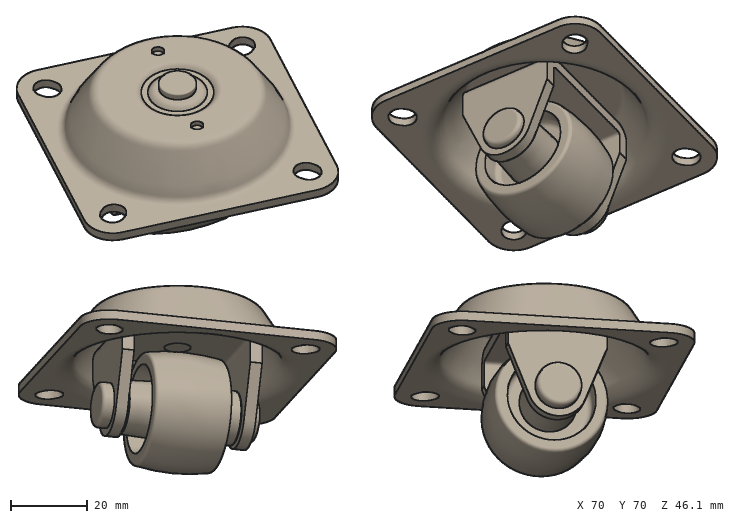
import cadquery as cq
import math


plate_side = 70
plate_thickness = 2.5
plate_corner_radius = 7.9
slot_width = 6.5
slot_length = 7.5
slot_offset = 26.95
slot_angle = 45

dome_top_z = 16.8
dome_wall = 2.5
dome_flat_radius = 19.95
dome_top_fillet = 4.0
dome_base_radius = 32.2
dome_base_fillet = 2.95
dome_top_slope = math.radians(60)
dome_base_slope = math.radians(70)

groove_depth = 1.4
groove_outer_radius = 12.2
groove_inner_radius = 5.2
groove_lip_radius = 3.0
groove_slope = math.radians(45)

dimple_offset = 16.0
dimple_diameter = 3.35
dimple_depth = 1.4

pin_radius = 3.5
pin_head_radius = 5.0
pin_head_height = 1.95
pin_head_fillet = 0.35

leg_inner_y = 15.95
leg_thickness = 3.2
leg_half_width = 13.2
leg_end_radius = 8.05
crown_top_z = 10.0
crown_bend_radius = 4.2
crown_pad_radius = 8.4
leg_outer_y = leg_inner_y + leg_thickness

axle_z = -11.35
axle_radius = 4.0
axle_head_radius = 6.0
axle_head_fillet = 1.1
axle_front_end = 22.3
axle_rear_end = 21.1

wheel_radius = 16.0
wheel_rim_radius = 15.1
wheel_half_width = 10.5
wheel_rim_fillet = 1.0
wheel_draft = math.radians(2.5)
recess_mouth_radius = 11.8
recess_depth = 5.6
recess_fillet = 1.55
hub_half_width = 15.55
hub_end_radius = 7.2
hub_end_chamfer = 0.3
hub_taper_length = hub_half_width - hub_end_chamfer - wheel_half_width
hub_face_radius = hub_end_radius + hub_taper_length * math.tan(wheel_draft)

quarter_arc_mid = math.sqrt(0.5)


def dome_solid(offset):
    """Dome shrunk inward by `offset`: rounded top edge, slightly bulged wall, flared base."""
    top_z = dome_top_z - offset
    base_z = plate_thickness - offset
    top_fillet = dome_top_fillet - offset
    base_fillet = dome_base_fillet + offset

    def on_top_arc(angle):
        return (dome_flat_radius + top_fillet * math.sin(angle),
                top_z - top_fillet * (1 - math.cos(angle)))

    def on_base_arc(angle):
        return (dome_base_radius - base_fillet * math.sin(angle),
                base_z + base_fillet * (1 - math.cos(angle)))

    def wall_direction(slope):
        return (math.cos(slope), -math.sin(slope))

    return (
        cq.Workplane("XZ")
        .moveTo(0, base_z)
        .lineTo(0, top_z)
        .lineTo(*on_top_arc(0))
        .threePointArc(on_top_arc(dome_top_slope / 2), on_top_arc(dome_top_slope))
        .spline([on_base_arc(dome_base_slope)],
                tangents=[wall_direction(dome_top_slope), wall_direction(dome_base_slope)],
                includeCurrent=True)
        .threePointArc(on_base_arc(dome_base_slope / 2), on_base_arc(0))
        .close()
        .revolve(360, (0, 0, 0), (0, 1, 0))
    )


def annular_groove():
    """Ring cut into the dome top: rounded lips, sloping walls and a flat floor."""
    floor_z = dome_top_z - groove_depth

    def lip(edge_radius, direction, angle):
        return (edge_radius + direction * groove_lip_radius * math.sin(angle),
                dome_top_z - groove_lip_radius * (1 - math.cos(angle)))

    outer_wall = lip(groove_outer_radius, -1, groove_slope)
    inner_wall = lip(groove_inner_radius, 1, groove_slope)
    wall_run = (outer_wall[1] - floor_z) / math.tan(groove_slope)
    return (
        cq.Workplane("XZ")
        .moveTo(groove_inner_radius, dome_top_z)
        .threePointArc(lip(groove_inner_radius, 1, groove_slope / 2), inner_wall)
        .lineTo(inner_wall[0] + wall_run, floor_z)
        .lineTo(outer_wall[0] - wall_run, floor_z)
        .lineTo(*outer_wall)
        .threePointArc(lip(groove_outer_radius, -1, groove_slope / 2),
                       (groove_outer_radius, dome_top_z))
        .close()
        .revolve(360, (0, 0, 0), (0, 1, 0))
    )


def make_housing():
    """Plate and hollow dome with the top groove, mounting slots, dimples and pin hole."""
    housing = (
        cq.Workplane("XY")
        .rect(plate_side, plate_side)
        .extrude(plate_thickness)
        .edges("|Z")
        .fillet(plate_corner_radius)
        .union(dome_solid(0))
        .cut(dome_solid(dome_wall))
        .cut(annular_groove())
    )
    for x_side in (-1, 1):
        for y_side in (-1, 1):
            slot = (
                cq.Workplane("XY")
                .center(x_side * slot_offset, y_side * slot_offset)
                .slot2D(slot_length, slot_width, slot_angle * x_side * y_side)
                .extrude(plate_thickness)
            )
            housing = housing.cut(slot)
    dimples = (
        cq.Workplane("XY", origin=(0, 0, dome_top_z))
        .pushPoints([(-dimple_offset, 0), (dimple_offset, 0)])
        .circle(dimple_diameter / 2)
        .extrude(-dimple_depth)
    )
    return housing.cut(dimples).cut(pin_shank())


def pin_shank():
    """Straight shank from the dome top down to the underside of the fork crown."""
    shank_bottom_z = crown_top_z - leg_thickness
    return (
        cq.Workplane("XY", origin=(0, 0, shank_bottom_z))
        .circle(pin_radius)
        .extrude(dome_top_z - shank_bottom_z)
    )


def make_swivel_pin():
    """Pin whose rounded head rests on the dome top."""
    head = (
        cq.Workplane("XY", origin=(0, 0, dome_top_z))
        .circle(pin_head_radius)
        .extrude(pin_head_height)
        .edges()
        .fillet(pin_head_fillet)
    )
    return head.union(pin_shank())


def make_fork():
    """Bent U-shaped strip whose two legs taper to a round end about the axle."""
    crown_bottom_z = crown_top_z - leg_thickness
    lowest_z = axle_z - leg_end_radius
    channel = (
        cq.Workplane("YZ")
        .rect(2 * leg_outer_y, 2 * (crown_top_z - lowest_z))
        .extrude(leg_half_width, both=True)
        .translate((0, 0, lowest_z))
        .edges("|X and >Z")
        .fillet(crown_bend_radius)
    )
    gap = (
        cq.Workplane("YZ")
        .rect(2 * leg_inner_y, 2 * (crown_bottom_z - lowest_z))
        .extrude(leg_half_width, both=True)
        .translate((0, 0, lowest_z))
        .edges("|X and >Z")
        .fillet(crown_bend_radius - leg_thickness)
    )
    corner_distance = math.hypot(leg_half_width, axle_z)
    corner_angle = math.atan2(-axle_z, leg_half_width)
    tangent_angle = corner_angle - math.acos(leg_end_radius / corner_distance)
    tangent_x = leg_end_radius * math.cos(tangent_angle)
    tangent_z = axle_z + leg_end_radius * math.sin(tangent_angle)
    outline = (
        cq.Workplane("XZ")
        .moveTo(-leg_half_width, crown_top_z)
        .lineTo(leg_half_width, crown_top_z)
        .lineTo(leg_half_width, 0)
        .lineTo(tangent_x, tangent_z)
        .threePointArc((0, lowest_z), (-tangent_x, tangent_z))
        .lineTo(-leg_half_width, 0)
        .close()
        .extrude(leg_outer_y, both=True)
    )
    pad = (
        cq.Workplane("XY", origin=(0, 0, crown_top_z))
        .circle(crown_pad_radius)
        .extrude(dome_top_z - dome_wall - crown_top_z)
    )
    return channel.cut(gap).intersect(outline).union(pad).cut(pin_shank()).cut(axle_shaft())


def axle_shaft():
    """Plain shaft reaching the outer faces of both legs."""
    return (
        cq.Workplane("XZ", origin=(0, 0, axle_z))
        .circle(axle_radius)
        .extrude(leg_outer_y, both=True)
    )


def make_axle():
    """Shaft with a rounded head outside each leg; the -Y head is the thicker one."""
    axle = axle_shaft()
    for direction, end in ((-1, axle_front_end), (1, axle_rear_end)):
        outer_face = "<Y" if direction < 0 else ">Y"
        head = (
            cq.Workplane("XZ", origin=(0, direction * leg_outer_y, axle_z))
            .circle(axle_head_radius)
            .extrude(-direction * (end - leg_outer_y))
            .faces(outer_face)
            .edges()
            .fillet(axle_head_fillet)
        )
        axle = axle.union(head)
    return axle


def wheel_recess(side):
    """Ring-shaped recess in the face at +Y (side 1) or -Y (side -1), about the drafted hub."""
    floor_y = wheel_half_width - recess_depth
    draft = math.tan(wheel_draft)
    wall_end_y = floor_y + recess_fillet
    wall_end_radius = recess_mouth_radius - (recess_depth - recess_fillet) * draft
    floor_radius = wall_end_radius - recess_fillet
    fillet_mid = recess_fillet * quarter_arc_mid
    hub_base_radius = hub_face_radius + recess_depth * draft
    return (
        cq.Workplane("YZ", origin=(0, 0, axle_z))
        .moveTo(side * wheel_half_width, hub_face_radius)
        .lineTo(side * wheel_half_width, recess_mouth_radius)
        .lineTo(side * wall_end_y, wall_end_radius)
        .threePointArc((side * (wall_end_y - fillet_mid), floor_radius + fillet_mid),
                       (side * floor_y, floor_radius))
        .lineTo(side * floor_y, hub_base_radius)
        .close()
        .revolve(360, (0, 0, 0), (1, 0, 0))
    )


def wheel_hub(side):
    """Tapered hub standing out of the face at +Y (side 1) or -Y (side -1)."""
    return (
        cq.Workplane("YZ", origin=(0, 0, axle_z))
        .moveTo(side * wheel_half_width, 0)
        .lineTo(side * wheel_half_width, hub_face_radius)
        .lineTo(side * (hub_half_width - hub_end_chamfer), hub_end_radius)
        .lineTo(side * hub_half_width, hub_end_radius - hub_end_chamfer)
        .lineTo(side * hub_half_width, 0)
        .close()
        .revolve(360, (0, 0, 0), (1, 0, 0))
    )


def make_wheel():
    """Crowned wheel with a ring-shaped recess and a tapered hub on each side."""
    rim_y = wheel_half_width - wheel_rim_fillet
    rim_face_radius = wheel_rim_radius - wheel_rim_fillet
    fillet_mid = wheel_rim_fillet * quarter_arc_mid
    wheel = (
        cq.Workplane("YZ", origin=(0, 0, axle_z))
        .moveTo(-wheel_half_width, 0)
        .lineTo(-wheel_half_width, rim_face_radius)
        .threePointArc((-rim_y - fillet_mid, rim_face_radius + fillet_mid),
                       (-rim_y, wheel_rim_radius))
        .threePointArc((0, wheel_radius), (rim_y, wheel_rim_radius))
        .threePointArc((rim_y + fillet_mid, rim_face_radius + fillet_mid),
                       (wheel_half_width, rim_face_radius))
        .lineTo(wheel_half_width, 0)
        .close()
        .revolve(360, (0, 0, 0), (1, 0, 0))
    )
    for side in (-1, 1):
        wheel = wheel.cut(wheel_recess(side)).union(wheel_hub(side))
    return wheel.cut(axle_shaft())


housing = make_housing().solids()
swivel_pin = make_swivel_pin().solids()
fork = make_fork().solids()
axle = make_axle().solids()
wheel = make_wheel().solids()

result = cq.Compound.makeCompound([
    housing.val(),
    swivel_pin.val(),
    fork.val(),
    axle.val(),
    wheel.val(),
])